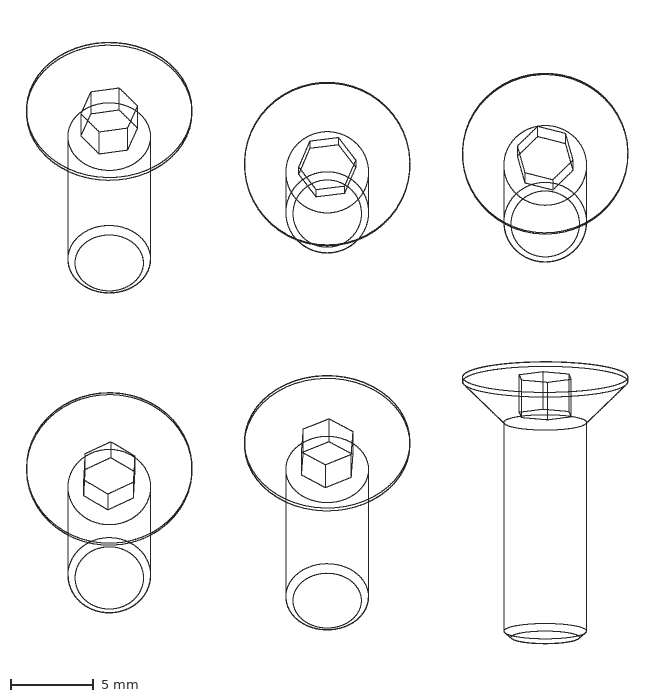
import cadquery as cq
import math

total_length = 16.0
head_diameter = 10.0
shank_diameter = head_diameter / 2
rim_height = 0.29
tip_chamfer_width = 0.43
tip_chamfer_height = 0.38
socket_across_flats = 3.0
socket_depth = 2.3

head_radius = head_diameter / 2
shank_radius = shank_diameter / 2
rim_bottom = total_length - rim_height
cone_bottom = rim_bottom - (head_radius - shank_radius)


def make_body():
    """Revolve the half profile, given as (radius, height), about Z."""
    profile = [
        (0, 0),
        (shank_radius - tip_chamfer_width, 0),
        (shank_radius, tip_chamfer_height),
        (shank_radius, cone_bottom),
        (head_radius, rim_bottom),
        (head_radius, total_length),
        (0, total_length),
    ]
    return cq.Workplane("XZ").polyline(profile).close().revolve(360, (0, 0), (0, 1))


def make_socket():
    """Hexagonal prism with two of its flats facing +X and -X."""
    across_corners = socket_across_flats / math.cos(math.pi / 6)
    return (
        cq.Workplane("XY", origin=(0, 0, total_length - socket_depth))
        .polygon(6, across_corners)
        .extrude(socket_depth)
        .rotate((0, 0, 0), (0, 0, 1), 30)
    )


result = make_body().cut(make_socket())